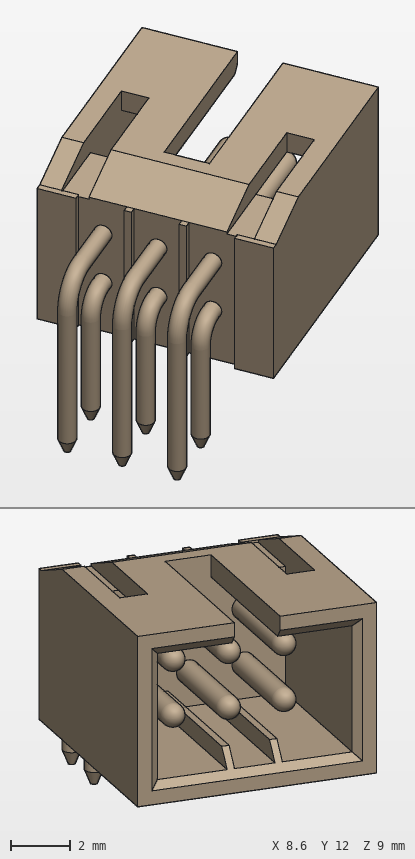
import cadquery as cq
import math


width = 8.6
height = 6.1
lip_depth = 0.23
length = 8.9
panel_y = -(length - lip_depth)
wall = 0.79
bevel_drop = 0.71
bevel_run = 1.88
ridge_z = height - bevel_drop

cavity_depth = 6.22
cavity_width = width - 2 * wall
cavity_height = height - 2 * wall
mouth_run = 0.22
mouth_flare = 0.29

key_width = 1.65
latch_slot_width = 1.0
latch_slot_x = (cavity_width - latch_slot_width) / 2
latch_slot_start = 3.6

rail_gap = 1.45
rail_width = 0.26
rail_bevel_run = 0.71
rail_height = (rail_bevel_run - mouth_run) * mouth_flare / mouth_run

corner_width = 1.42
ridge_width = 0.26

pitch = 2.0
lead_diameter = 0.65
post_diameter = 0.83
post_tip_y = -2.2
upper_row_depth = 2.06
upper_row_z = height - upper_row_depth
overall_length = 12.03
upper_lead_y = lead_diameter / 2 - overall_length
upper_bend = 1.18
lower_row_z = upper_row_z - pitch
lower_lead_y = upper_lead_y + pitch
lower_bend = 0.78
tip_z = -2.9
tip_length = 0.5
tip_diameter = 0.24


def box(x, x_size, y_from, y_to, z_from, z_to):
    """Box centred on x, spanning the given Y and Z ranges."""
    size = (x_size, y_to - y_from, z_to - z_from)
    return cq.Workplane("XY").box(*size, centered=(True, False, False)).translate((x, y_from, z_from))


def shell():
    """Outer block with its sloping top front edge."""
    outline = [(0, 0), (0, height), (panel_y + bevel_run, height), (panel_y, ridge_z), (panel_y, 0)]
    return cq.Workplane("YZ").polyline(outline).close().extrude(width / 2, both=True)


def cavity():
    """Rectangular cavity with a flared mouth."""
    mid_z = height / 2
    straight = box(0, cavity_width, -cavity_depth, 0, wall, height - wall)
    flare = (
        cq.Workplane("XZ", origin=(0, 0, mid_z))
        .rect(cavity_width + 2 * mouth_flare, cavity_height + 2 * mouth_flare)
        .workplane(offset=mouth_run)
        .rect(cavity_width, cavity_height)
        .loft(ruled=True)
    )
    return straight.union(flare)


def rail(side):
    """Floor rail beside the key slot; its nose continues the flare of the mouth."""
    inner_x = side * rail_gap / 2
    profile = [
        (-cavity_depth, wall),
        (-cavity_depth, wall + rail_height),
        (-rail_bevel_run, wall + rail_height),
        (-mouth_run, wall),
    ]
    return (
        cq.Workplane("YZ", origin=(inner_x, 0, 0)).polyline(profile).close().extrude(side * rail_width)
    )


def post(x, z):
    """Contact post inside the cavity, with a domed tip."""
    radius = post_diameter / 2
    diagonal = radius * math.sqrt(0.5)
    shoulder_y = post_tip_y - radius
    return (
        cq.Workplane("XY", origin=(x, 0, z))
        .moveTo(0, -cavity_depth)
        .lineTo(radius, -cavity_depth)
        .lineTo(radius, shoulder_y)
        .threePointArc((diagonal, shoulder_y + diagonal), (0, post_tip_y))
        .close()
        .revolve(360, (0, 0, 0), (0, 1, 0))
    )


def lead(x, z, lead_y, bend):
    """Round lead leaving the panel, bending down and ending in a tapered tip."""
    diagonal = bend * math.sqrt(0.5)
    taper_z = tip_z + tip_length
    path = (
        cq.Workplane("YZ", origin=(x, 0, 0))
        .moveTo(-cavity_depth, z)
        .lineTo(lead_y + bend, z)
        .threePointArc((lead_y + bend - diagonal, z - bend + diagonal), (lead_y, z - bend))
        .lineTo(lead_y, taper_z)
    )
    rod = cq.Workplane("XZ", origin=(x, -cavity_depth, z)).circle(lead_diameter / 2).sweep(path)
    tip = (
        cq.Workplane("XY", origin=(x, lead_y, tip_z))
        .circle(tip_diameter / 2)
        .workplane(offset=tip_length)
        .circle(lead_diameter / 2)
        .loft()
    )
    return rod.union(tip)


result = shell().cut(cavity())

result = result.cut(box(0, key_width, -cavity_depth, 0, height / 2, height))

for side in (-1, 1):
    slot_x = side * latch_slot_x
    result = result.cut(box(slot_x, latch_slot_width, panel_y, -latch_slot_start, height - wall, height))

    corner_x = side * (width - corner_width) / 2
    ridge_x = side * pitch / 2
    result = result.union(box(corner_x, corner_width, -length, panel_y, 0, ridge_z))
    result = result.union(box(ridge_x, ridge_width, -length, panel_y, 0, ridge_z))

    result = result.union(rail(side))

for column in (-1, 0, 1):
    pin_x = column * pitch
    result = result.union(post(pin_x, upper_row_z))
    result = result.union(lead(pin_x, upper_row_z, upper_lead_y, upper_bend))
    result = result.union(post(pin_x, lower_row_z))
    result = result.union(lead(pin_x, lower_row_z, lower_lead_y, lower_bend))